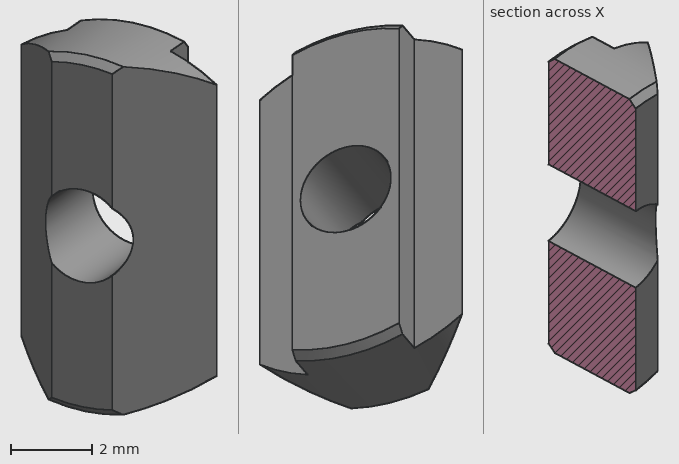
import cadquery as cq

nut_length = 9.5
nut_width = 5.5
tongue_width = 2.9
tongue_height = 0.9
face_width = 1.7
hole_diameter = 2.46
end_chamfer = 0.2

flank_depth = (nut_width - face_width) / 2
total_depth = flank_depth + tongue_height

front_y = -flank_depth
rear_y = tongue_height


def nut_bar():
    """Constant section of tongue, shoulders and sloping flanks, along Z."""
    half_width = nut_width / 2
    half_tongue = tongue_width / 2
    half_face = face_width / 2
    section = [
        (-half_face, front_y),
        (half_face, front_y),
        (half_width, 0),
        (half_tongue, 0),
        (half_tongue, rear_y),
        (-half_tongue, rear_y),
        (-half_tongue, 0),
        (-half_width, 0),
    ]
    return cq.Workplane("XY").polyline(section).close().extrude(nut_length / 2, both=True)


def cylinder_along_y(diameter):
    """Cylinder through the full depth of the nut, centred on the hole axis."""
    return (
        cq.Workplane("XZ", origin=(0, rear_y, 0))
        .circle(diameter / 2)
        .extrude(total_depth)
    )


def rounded_envelope():
    """Disc with chamfered rims that shapes the two round ends."""
    return cylinder_along_y(nut_length).faces("<Y or >Y").edges().chamfer(end_chamfer)


result = nut_bar().intersect(rounded_envelope()).cut(cylinder_along_y(hole_diameter))